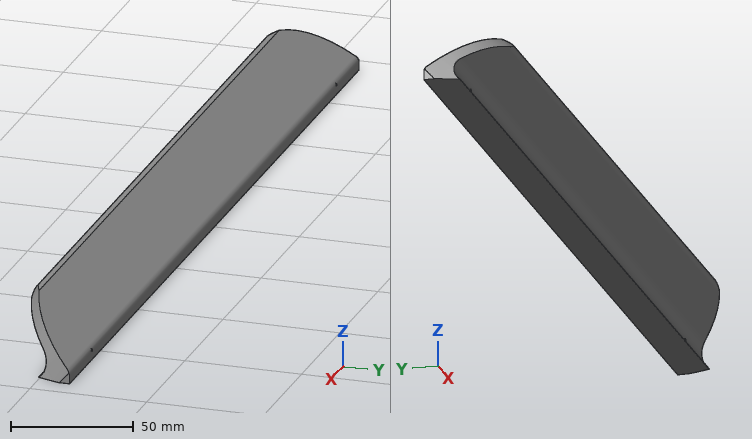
import cadquery as cq
import math

length = 380.0
height = 26.2
depth = 27.5

back_height = 5.0
foot_depth = 14.5
back_radius = 3.8
blade_angle = math.radians(42)
blade_thickness = 5.0
tip_radius = 2.3
hollow_radius = 7.0

end_run = 42.5
end_rise = 34.2
end_bulge_x = 13.0
end_bulge_rise = 19.8

hole_diameter = 1.0
hole_height = 4.0
hole_spacing = 320.5

along_y, along_z = -math.cos(blade_angle), math.sin(blade_angle)
under_y, under_z = -math.sin(blade_angle), -math.cos(blade_angle)
blade_length = (height - back_height) / along_z


def blade_point(distance_up, distance_under):
    """Return (Y, Z) from the top of the back, up the blade and below its upper face."""
    y = distance_up * along_y + distance_under * under_y
    z = back_height + distance_up * along_z + distance_under * under_z
    return y, z


def section():
    """Closed cross section, with a hollow tangent to the blade's underside."""
    centre_under = blade_thickness + hollow_radius
    foot_up = -foot_depth * along_y - back_height * along_z
    foot_under = -foot_depth * under_y - back_height * under_z
    centre_up = foot_up + math.sqrt(hollow_radius**2 - (foot_under - centre_under) ** 2)
    centre_y, centre_z = blade_point(centre_up, centre_under)
    edge_y = blade_point(blade_length, 0)[0]
    tip_under = blade_thickness - tip_radius
    tip_y = edge_y + (tip_under + tip_radius * under_z) / under_y
    tip_z = height - tip_radius
    tip_end = (tip_y + tip_radius * under_y, tip_z + tip_radius * under_z)
    return (
        cq.Workplane("YZ")
        .moveTo(0, 0)
        .lineTo(0, back_height)
        .lineTo(edge_y, height)
        .lineTo(tip_y, height)
        .threePointArc((tip_y - tip_radius, tip_z), tip_end)
        .lineTo(*blade_point(centre_up, blade_thickness))
        .threePointArc((centre_y + hollow_radius, centre_z), (-foot_depth, 0))
        .close()
    )


def end_outline():
    """Prism square to the blade whose outline rounds off both ends."""
    half = length / 2
    blade_plane = cq.Plane(
        origin=(0, 0, back_height), xDir=(-1, 0, 0), normal=(0, -under_y, -under_z)
    )
    return (
        cq.Workplane(blade_plane)
        .moveTo(-half, -height)
        .lineTo(-half, 0)
        .threePointArc((-half + end_bulge_x, end_bulge_rise), (-half + end_run, end_rise))
        .lineTo(half - end_run, end_rise)
        .threePointArc((half - end_bulge_x, end_bulge_rise), (half, 0))
        .lineTo(half, -height)
        .close()
        .extrude(depth, both=True)
    )


bar = section().extrude(length / 2, both=True)
back_edge = cq.selectors.NearestToPointSelector((0, 0, back_height))
body = bar.edges(back_edge).fillet(back_radius).intersect(end_outline())

holes = (
    cq.Workplane("XZ")
    .pushPoints([(-hole_spacing / 2, hole_height), (hole_spacing / 2, hole_height)])
    .circle(hole_diameter / 2)
    .extrude(foot_depth)
)
result = body.cut(holes)